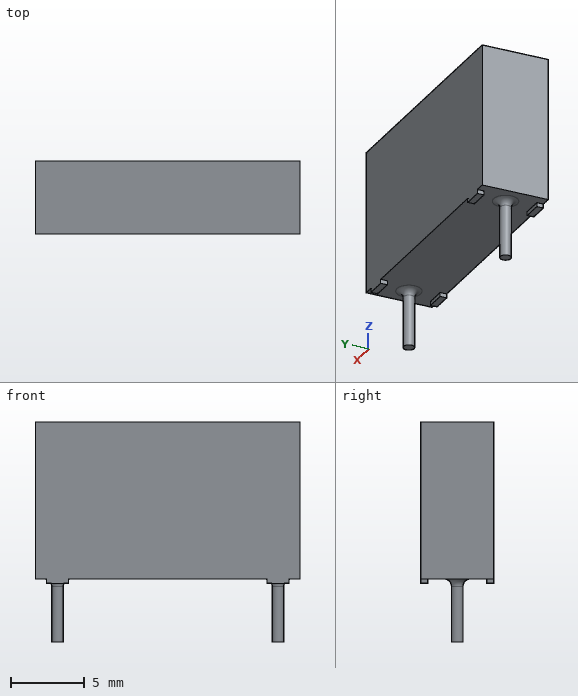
import cadquery as cq

length = 18.0
width = 5.0
total_height = 15.0

foot_length = 1.5
foot_width = 0.5
foot_height = 0.3

lead_pitch = 15.0
lead_diameter = 0.8
lead_length = 4.3
flare_radius = 0.5

case_height = total_height - lead_length
lead_radius = lead_diameter / 2
lead_positions = (-lead_pitch / 2, lead_pitch / 2)
foot_offset = (width - foot_width) / 2


def make_case():
    """Plain rectangular block standing on Z = 0."""
    return cq.Workplane("XY").box(length, width, case_height, centered=(True, True, False))


def make_feet():
    """Four small pads flush with the long faces, in line with the leads."""
    centers = [(x, y) for x in lead_positions for y in (-foot_offset, foot_offset)]
    return cq.Workplane("XY").pushPoints(centers).rect(foot_length, foot_width).extrude(-foot_height)


def make_lead(x):
    """Round lead that flares out through a concave quarter arc where it meets the case."""
    flare_outer_radius = lead_radius + flare_radius
    profile = (
        cq.Workplane("XZ")
        .lineTo(flare_outer_radius, 0)
        .radiusArc((lead_radius, -flare_radius), -flare_radius)
        .lineTo(lead_radius, -lead_length)
        .lineTo(0, -lead_length)
        .close()
    )
    return profile.revolve(360, (0, 0, 0), (0, 1, 0)).translate((x, 0, 0))


result = make_case().union(make_feet())
for lead_x in lead_positions:
    result = result.union(make_lead(lead_x))